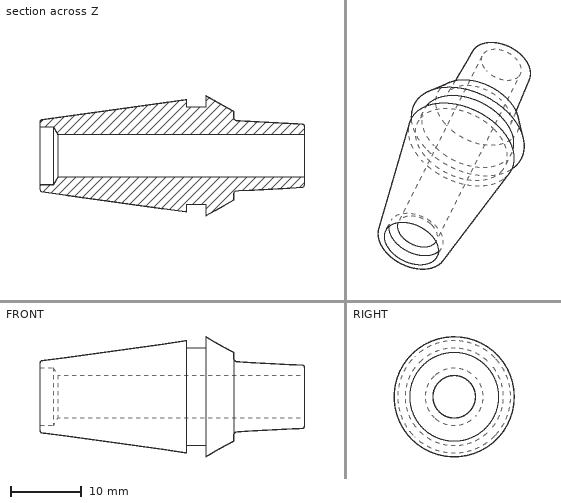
import cadquery as cq
import math

length = 37.5
body_end = 20.78
flange_start = 23.5
flange_end = 27.5

body_tip_radius = 5.1
body_end_radius = 8.0
groove_radius = 6.95
flange_diameter = 17.05
flange_radius = flange_diameter / 2
flange_small_radius = 6.3
neck_root_radius = 5.02
neck_tip_radius = 4.5

tip_rounding = 0.35
neck_root_fillet = 0.4

bore_radius = 3.0
mouth_radius = 4.1
mouth_depth = 1.9
seat_half_angle = 60.0
seat_length = (mouth_radius - bore_radius) / math.tan(math.radians(seat_half_angle))


def revolve_about_x(profile):
    """Turn a closed XY profile around the X axis."""
    return profile.close().revolve(360, (0, 0, 0), (1, 0, 0))


body = revolve_about_x(
    cq.Workplane("XY")
    .lineTo(0, body_tip_radius)
    .lineTo(body_end, body_end_radius)
    .lineTo(body_end, groove_radius)
    .lineTo(flange_start, groove_radius)
    .lineTo(flange_start, flange_radius)
    .lineTo(flange_end, flange_small_radius)
    .lineTo(flange_end, neck_root_radius)
    .lineTo(length, neck_tip_radius)
    .lineTo(length, 0)
)

body = body.faces("<X or >X").edges().fillet(tip_rounding)
flange_face = body.faces(cq.selectors.NearestToPointSelector((flange_end, 0, 0)))
body = flange_face.edges(cq.selectors.RadiusNthSelector(0)).fillet(neck_root_fillet)

bore = revolve_about_x(
    cq.Workplane("XY")
    .lineTo(0, mouth_radius)
    .lineTo(mouth_depth, mouth_radius)
    .lineTo(mouth_depth + seat_length, bore_radius)
    .lineTo(length, bore_radius)
    .lineTo(length, 0)
)

result = body.cut(bore)